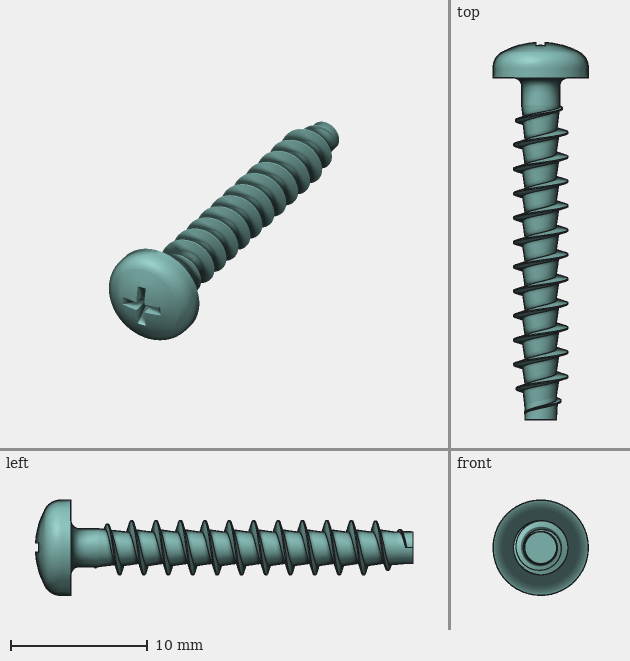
import cadquery as cq
import math

TOTAL_LENGTH = 27.65

HEAD_RADIUS = 7.0 / 2
HEAD_HEIGHT = 2.6
HEAD_BAND_HEIGHT = 0.75
CROWN_RADIUS = 5.85

RECESS_SPAN = 3.55
RECESS_BOTTOM_SPAN = 1.38
RECESS_DEPTH = 1.38
RECESS_ARM_WIDTH = 0.65

SHANK_RADIUS = 2.8 / 2
SHANK_LENGTH = 2.02
NECK_FILLET = 0.6
CORE_RADIUS = 1.15
CORE_TAPER_LENGTH = 2.0

CREST_RADIUS = 2.0
CREST_HALF_WIDTH = 0.041
FLANK_SLOPE = math.tan(math.radians(15))
RAMP_RADIUS = 1.33
RAMP_LENGTH = 1.45
BURIED_RADIUS = 1.05
RAMP_BURIAL = 0.015
FIRST_CREST_Y = 1.38
LAST_CREST_Y = 22.85
CREST_TURNS = 12
PITCH = (LAST_CREST_Y - FIRST_CREST_Y) / CREST_TURNS
RUN_OUT_START = -0.5
RUN_OUT_RADIUS = 1.2
RUN_OUT_TURNS = 1.3
THREAD_END = CREST_TURNS + 0.25
FADE_TURNS = 1.0
FADE_END_RADIUS = 1.47
STRETCH_TURNS = 0.9
STRETCH_STEPS = 12

INNER_CORNER_RADIUS = RECESS_ARM_WIDTH / math.sqrt(2)
CROWN_CENTRE = TOTAL_LENGTH - math.sqrt(CROWN_RADIUS**2 - INNER_CORNER_RADIUS**2)
CROWN_TOP = CROWN_CENTRE + CROWN_RADIUS

SHANK_TOP = TOTAL_LENGTH - HEAD_HEIGHT
SHANK_END = SHANK_TOP - SHANK_LENGTH
BAND_TOP = SHANK_TOP + HEAD_BAND_HEIGHT

CENTRE_DROP = BAND_TOP - CROWN_CENTRE
SHOULDER_RADIUS = (CROWN_RADIUS**2 - HEAD_RADIUS**2 - CENTRE_DROP**2) / (2 * (CROWN_RADIUS - HEAD_RADIUS))
CROWN_EDGE_ANGLE = math.atan2(HEAD_RADIUS - SHOULDER_RADIUS, CENTRE_DROP)


def make_body():
    """Revolve the head, neck fillet, shank, tapered transition and core."""

    def on_crown(angle):
        return (CROWN_RADIUS * math.sin(angle), CROWN_CENTRE + CROWN_RADIUS * math.cos(angle))

    crown_edge = on_crown(CROWN_EDGE_ANGLE)
    profile = (
        cq.Workplane("XY")
        .moveTo(0, 0)
        .lineTo(CORE_RADIUS, 0)
        .lineTo(CORE_RADIUS, SHANK_END - CORE_TAPER_LENGTH)
        .lineTo(SHANK_RADIUS, SHANK_END)
        .lineTo(SHANK_RADIUS, SHANK_TOP - NECK_FILLET)
        .tangentArcPoint((SHANK_RADIUS + NECK_FILLET, SHANK_TOP), relative=False)
        .lineTo(HEAD_RADIUS, SHANK_TOP)
        .lineTo(HEAD_RADIUS, BAND_TOP)
        .tangentArcPoint(crown_edge, relative=False)
        .threePointArc(on_crown(CROWN_EDGE_ANGLE / 2), on_crown(0))
        .close()
    )
    return profile.revolve(360, (0, 0, 0), (0, 1, 0))


def make_recess():
    """Two crossed blades that narrow towards the bottom of the recess."""
    blade = (
        cq.Workplane("XY")
        .moveTo(-RECESS_SPAN / 2, CROWN_TOP)
        .lineTo(RECESS_SPAN / 2, CROWN_TOP)
        .lineTo(RECESS_BOTTOM_SPAN / 2, TOTAL_LENGTH - RECESS_DEPTH)
        .lineTo(-RECESS_BOTTOM_SPAN / 2, TOTAL_LENGTH - RECESS_DEPTH)
        .close()
        .extrude(RECESS_ARM_WIDTH / 2, both=True)
    )
    return blade.union(blade.rotate((0, 0, 0), (0, 1, 0), 90))


def crest_radius(turn):
    """Crest radius along the thread, reduced at both ends."""
    grown = min(1, (turn - RUN_OUT_START) / RUN_OUT_TURNS)
    faded = min(1, (THREAD_END - turn) / FADE_TURNS)
    rising = RUN_OUT_RADIUS + (CREST_RADIUS - RUN_OUT_RADIUS) * grown
    falling = FADE_END_RADIUS + (CREST_RADIUS - FADE_END_RADIUS) * faded
    return min(rising, falling)


def thread_section(turn):
    """Corners of the thread section as (radius, axial offset), from the top round to the bottom."""
    crest = crest_radius(turn)
    fullness = (crest - CORE_RADIUS) / (CREST_RADIUS - CORE_RADIUS)
    ramp = CORE_RADIUS + (RAMP_RADIUS - CORE_RADIUS) * fullness

    def flank_offset(radius):
        return CREST_HALF_WIDTH + FLANK_SLOPE * (crest - radius)

    return [
        (BURIED_RADIUS, flank_offset(BURIED_RADIUS)),
        (crest, CREST_HALF_WIDTH),
        (crest, -CREST_HALF_WIDTH),
        (ramp, -flank_offset(ramp)),
        (CORE_RADIUS - RAMP_BURIAL, -RAMP_LENGTH),
        (BURIED_RADIUS, -RAMP_LENGTH),
    ]


def corner_point(turn, corner):
    """Position of one section corner on its right-handed helix."""
    radius, offset = thread_section(turn)[corner]
    angle = 2 * math.pi * turn
    height = FIRST_CREST_Y + PITCH * turn + offset
    return cq.Vector(radius * math.cos(angle), height, -radius * math.sin(angle))


def make_thread():
    """Skin the section along the helix in short ruled stretches and cap both ends."""
    corners = range(len(thread_section(0)))
    stretch_count = math.ceil((THREAD_END - RUN_OUT_START) / STRETCH_TURNS)
    stretch = (THREAD_END - RUN_OUT_START) / stretch_count
    faces = []
    for index in range(stretch_count):
        start = RUN_OUT_START + index * stretch
        turns = [start + stretch * step / STRETCH_STEPS for step in range(STRETCH_STEPS + 1)]
        helices = [cq.Edge.makeSpline([corner_point(turn, corner) for turn in turns]) for corner in corners]
        faces += [cq.Face.makeRuledSurface(helices[corner - 1], helices[corner]) for corner in corners]
    for turn in (RUN_OUT_START, THREAD_END):
        outline = cq.Wire.makePolygon([corner_point(turn, corner) for corner in corners], close=True)
        faces.append(cq.Face.makeFromWires(outline))
    return cq.Workplane(cq.Solid.makeSolid(cq.Shell.makeShell(faces)).fix())


above_tip = cq.Workplane("XZ").circle(HEAD_RADIUS).extrude(-TOTAL_LENGTH)
thread = make_thread().intersect(above_tip)

result = make_body().cut(make_recess()).union(thread)